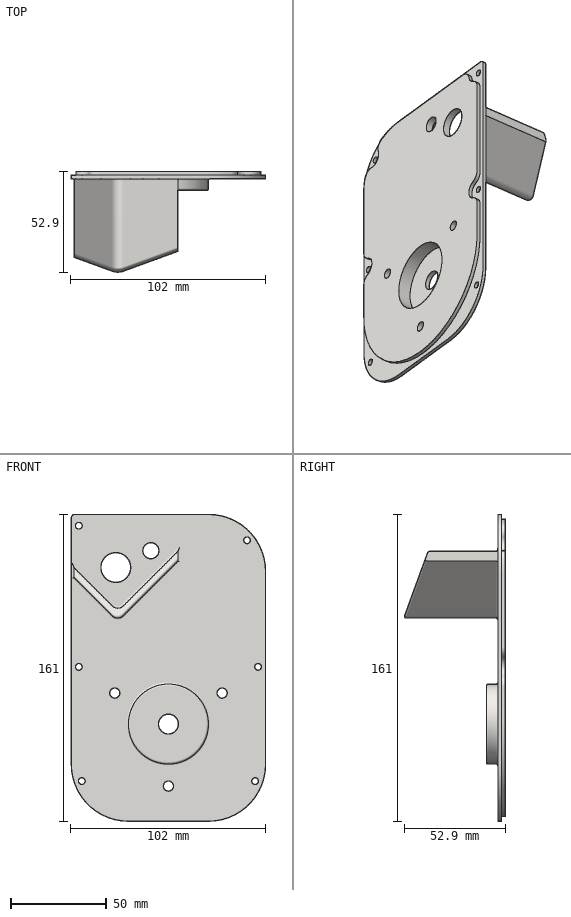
import cadquery as cq
import math


width = 102.0
height = 161.0
layer_thickness = 2.0
total_thickness = 2 * layer_thickness
corner_radius = 30.0
sharp_corner_radius = 2.0
edge_round = 0.2
plate_inset = 2.5

screw_diameter = 3.4
screw_edge_distance = 4.0
screw_mid_height = 81.0
screw_top_distance = 6.0
screw_top_angle = 39.0
screw_bottom_angle = -20.0
relief_radius = 5.5
relief_blend = relief_radius

boss_height_z = 51.0
boss_radius = 21.0
boss_length = 6.0
boss_rim_round = 1.0
bore_diameter = 10.3
boss_wall = 2.5
bolt_circle_radius = 32.5
bolt_diameter = 5.2
bolt_angles = (30, 150, 270)

panel_holes = ((-27.6, 133.1, 15.5), (-9.2, 141.9, 8.3))

shield_left = -49.5
shield_right = 5.0
shield_apex_x = -26.55
shield_bottom = 106.5
shield_thickness = 3.7
outer_bend_radius = 4.0
inner_bend_radius = outer_bend_radius
shield_arm_angle = math.radians(45)
total_depth = 52.94
shield_reach = total_depth - total_thickness
shield_slope = math.radians(20)
rim_round = 1.0

base_fillet = 0.85

match_tolerance = 1e-4

corner_x = width / 2 - corner_radius
corner_low_z = corner_radius
corner_high_z = height - corner_radius


def screw_positions():
    """(x, z) of the six screws, set in from the outline by screw_edge_distance."""
    side_x = width / 2 - screw_edge_distance
    reach = corner_radius - screw_edge_distance
    top = math.radians(screw_top_angle)
    bottom = math.radians(screw_bottom_angle)
    low_x = corner_x + reach * math.cos(bottom)
    low_z = corner_low_z + reach * math.sin(bottom)
    return [
        (-side_x, height - screw_top_distance),
        (corner_x + reach * math.cos(top), corner_high_z + reach * math.sin(top)),
        (-side_x, screw_mid_height),
        (side_x, screw_mid_height),
        (-low_x, low_z),
        (low_x, low_z),
    ]


def prism(outline, start_y, end_y):
    """Extrude an XZ sketch from start_y to end_y."""
    return outline(cq.Workplane("XZ", origin=(0, start_y, 0))).extrude(start_y - end_y)


def cylinders(points, diameter, start_y, end_y):
    return prism(lambda plane: plane.pushPoints(points).circle(diameter / 2), start_y, end_y)


def upper_block(inset, bottom_z, start_y, end_y):
    """Plate down to bottom_z with a rounded upper right corner; its other corners are square."""
    top_z = height - inset
    block = cq.Workplane("XY").box(width - 2 * inset, end_y - start_y, top_z - bottom_z)
    block = block.translate((0, (start_y + end_y) / 2, (top_z + bottom_z) / 2))
    return block.edges("|Y and >X and >Z").fillet(corner_radius - inset)


def make_flange():
    flange = upper_block(0, 0, 0, layer_thickness)
    flange = flange.edges("|Y and <Z").fillet(corner_radius)
    flange = flange.edges("|Y and <X and >Z").fillet(sharp_corner_radius)
    flange = flange.cut(cylinders(screw_positions(), screw_diameter, 0, layer_thickness))
    return flange.faces("<Y").edges().fillet(edge_round)


def scallop_ends(plate):
    """Upright edges of the plate that lie on a relief circle."""

    def on_relief(edge, x, z):
        distance = math.hypot(edge.Center().x - x, edge.Center().z - z)
        return abs(distance - relief_radius) < match_tolerance

    return [
        edge
        for edge in plate.edges("|Y").vals()
        if any(on_relief(edge, x, z) for x, z in screw_positions())
    ]


def make_locating_plate():
    """Inset back layer: a half disc around the boss axis below, scalloped around the upper screws."""
    plate = upper_block(plate_inset, boss_height_z, layer_thickness, total_thickness)
    low_diameter = width - 2 * plate_inset
    plate = plate.union(cylinders([(0, boss_height_z)], low_diameter, layer_thickness, total_thickness))
    reliefs = cylinders(screw_positions(), 2 * relief_radius, layer_thickness, total_thickness)
    plate = plate.cut(reliefs)
    return plate.newObject(scallop_ends(plate)).fillet(relief_blend)


def make_boss():
    boss = cylinders([(0, boss_height_z)], 2 * boss_radius, 0, -boss_length)
    return boss.faces("<Y").edges().fillet(boss_rim_round)


def make_shield():
    """Bent wall standing on the flange, cut off by a sloping plane and rounded along the rim."""
    stretch = 1 / math.cos(shield_arm_angle)
    outer_apex_z = shield_bottom - outer_bend_radius * (stretch - 1)
    inner_apex_z = outer_apex_z + shield_thickness * stretch
    left_rise = (shield_apex_x - shield_left) * math.tan(shield_arm_angle)
    right_rise = (shield_right - shield_apex_x) * math.tan(shield_arm_angle)
    points = [
        (shield_apex_x, outer_apex_z),
        (shield_right, outer_apex_z + right_rise),
        (shield_right, inner_apex_z + right_rise),
        (shield_apex_x, inner_apex_z),
        (shield_left, inner_apex_z + left_rise),
        (shield_left, outer_apex_z + left_rise),
    ]
    plane_y = -(shield_reach - rim_round + rim_round / math.cos(shield_slope))
    plane_z = shield_bottom + rim_round
    shield = prism(lambda plane: plane.polyline(points).close(), 0, -2 * shield_reach)
    for apex_z, radius in ((outer_apex_z, outer_bend_radius), (inner_apex_z, inner_bend_radius)):
        apex = cq.selectors.NearestToPointSelector((shield_apex_x, -shield_reach, apex_z))
        shield = shield.edges("|Y").edges(apex).fillet(radius)
    slope = cq.Plane(
        origin=(shield_apex_x, plane_y, plane_z),
        xDir=(1, 0, 0),
        normal=(0, -math.cos(shield_slope), math.sin(shield_slope)),
    )
    waste = cq.Workplane(slope).rect(2 * height, 2 * height).extrude(2 * height)
    shield = shield.cut(waste)
    rim = shield.faces(cq.selectors.DirectionMinMaxSelector(slope.zDir, True))
    return rim.edges("not(<X or >X)").fillet(rim_round)


def make_protrusions():
    """Boss and shield with flared bases, shaped on an oversize backing block that is then removed."""
    backing = cq.Workplane("XY").box(2 * width, layer_thickness, 2 * height)
    backing = backing.translate((0, layer_thickness / 2, height / 2))
    body = backing.union(make_boss()).union(make_shield())
    front_wires = body.faces(cq.selectors.NearestToPointSelector((0, 0, height / 2))).val().innerWires()
    roots = [edge for wire in front_wires for edge in wire.Edges()]
    return body.newObject(roots).fillet(base_fillet).cut(backing)


def cut_through(body, points, diameter):
    return body.cut(cylinders(points, diameter, -boss_length, total_thickness))


def cut_boss_recess(body):
    """Hollow the boss from the back, leaving boss_wall around and in front."""
    recess_diameter = 2 * (boss_radius - boss_wall)
    recess_front = boss_wall - boss_length
    return body.cut(cylinders([(0, boss_height_z)], recess_diameter, recess_front, total_thickness))


def bolt_positions():
    angles = [math.radians(angle) for angle in bolt_angles]
    return [
        (bolt_circle_radius * math.cos(angle), boss_height_z + bolt_circle_radius * math.sin(angle))
        for angle in angles
    ]


body = make_flange().union(make_locating_plate()).union(make_protrusions())
body = cut_through(body, [(0, boss_height_z)], bore_diameter)
body = cut_boss_recess(body)
body = cut_through(body, bolt_positions(), bolt_diameter)
for x, z, diameter in panel_holes:
    body = cut_through(body, [(x, z)], diameter)

result = body